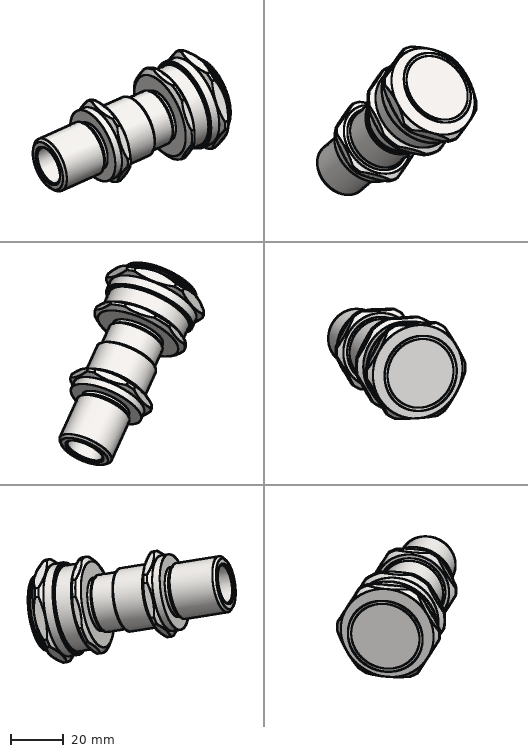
import cadquery as cq
import math

LENGTH = 75.3

disc_diameter = 29.0
disc_step_diameter = 26.5
disc_lip = 0.2
disc_thickness = 0.5
stem_diameter = 0.3

rear_nut_start = 3.5
rear_nut_end = 7.8
rear_nut_flats = 36.0
rear_rim_start = 5.2
rear_rim_end = 6.6
rear_nut_corners = 39.6
collar_diameter = 35.5
collar_end = 12.05
collar_chamfer = 0.45
body_diameter = 33.0

middle_nut_start = 18.6
middle_nut_end = 22.65
middle_nut_flats = 35.0
middle_rim_start = 19.95
middle_rim_end = 21.2
middle_nut_corners = 37.0

rear_neck_diameter = 20.5
rear_neck_end = 24.0
shank_diameter = 22.0
sleeve_start = 33.6
sleeve_diameter = 24.4
sleeve_chamfer = 0.5
sleeve_flare_start = 46.0
sleeve_flare_diameter = 25.6

front_nut_start = 47.1
front_nut_end = 51.1
front_nut_flats = 30.1
front_rim_start = 48.4
front_rim_end = 49.8
front_nut_corners = 33.0
front_nut_face_diameter = 28.6
flange_diameter = 29.0
flange_end = 54.2

front_neck_diameter = 19.2
front_neck_end = 55.55
tip_diameter = 21.5
tip_chamfer = 1.05
bore_diameter = 14.5
bore_chamfer = 0.5
bore_floor = rear_nut_end


def turned(profile):
    """Revolve (station, diameter) points, closed along the Y axis."""
    points = [(diameter / 2, LENGTH / 2 - station) for station, diameter in profile]
    start_y = points[0][1]
    end_y = points[-1][1]
    outline = [(0, start_y)] + points + [(0, end_y)]
    return cq.Workplane("XY").polyline(outline).close().revolve(360, (0, 0), (0, 1))


def hex_nut(start, end, flats, corners, rear_face, front_face, rim_start, rim_end):
    """Hexagon with two flats facing +Z and -Z, trimmed by a cone at each end."""
    prism = (
        cq.Workplane("XZ", origin=(0, LENGTH / 2 - start, 0))
        .polygon(6, flats / math.cos(math.radians(30)))
        .extrude(end - start)
    )
    envelope = turned([(start, rear_face), (rim_start, corners), (rim_end, corners), (end, front_face)])
    return prism.intersect(envelope)


rear_disc = turned([
    (0, disc_diameter),
    (disc_lip, disc_diameter),
    (disc_lip, disc_step_diameter),
    (disc_thickness, disc_step_diameter),
])
stem = turned([(0, stem_diameter), (rear_nut_start, stem_diameter)])

rear_nut = hex_nut(
    rear_nut_start, rear_nut_end, rear_nut_flats, rear_nut_corners,
    rear_face=rear_nut_flats, front_face=collar_diameter,
    rim_start=rear_rim_start, rim_end=rear_rim_end,
)
middle_nut = hex_nut(
    middle_nut_start, middle_nut_end, middle_nut_flats, middle_nut_corners,
    rear_face=body_diameter, front_face=body_diameter,
    rim_start=middle_rim_start, rim_end=middle_rim_end,
)
front_nut = hex_nut(
    front_nut_start, front_nut_end, front_nut_flats, front_nut_corners,
    rear_face=front_nut_face_diameter, front_face=flange_diameter,
    rim_start=front_rim_start, rim_end=front_rim_end,
)

body = turned([
    (rear_nut_end, collar_diameter),
    (collar_end - collar_chamfer, collar_diameter),
    (collar_end, collar_diameter - 2 * collar_chamfer),
    (collar_end, body_diameter),
    (middle_nut_end, body_diameter),
    (middle_nut_end, rear_neck_diameter),
    (rear_neck_end, rear_neck_diameter),
    (rear_neck_end + (shank_diameter - rear_neck_diameter) / 2, shank_diameter),
    (sleeve_start, shank_diameter),
    (sleeve_start, sleeve_diameter - 2 * sleeve_chamfer),
    (sleeve_start + sleeve_chamfer, sleeve_diameter),
    (sleeve_flare_start, sleeve_diameter),
    (front_nut_start, sleeve_flare_diameter),
    (front_nut_end, sleeve_flare_diameter),
    (front_nut_end, flange_diameter),
    (flange_end, flange_diameter),
    (flange_end, front_neck_diameter),
    (front_neck_end, front_neck_diameter),
    (front_neck_end + (tip_diameter - front_neck_diameter) / 2, tip_diameter),
    (LENGTH - tip_chamfer, tip_diameter),
    (LENGTH, tip_diameter - 2 * tip_chamfer),
])

bore = turned([
    (bore_floor, bore_diameter),
    (LENGTH - bore_chamfer, bore_diameter),
    (LENGTH, bore_diameter + 2 * bore_chamfer),
])

result = body.union(rear_nut).union(middle_nut).union(front_nut).cut(bore).union(rear_disc).union(stem)